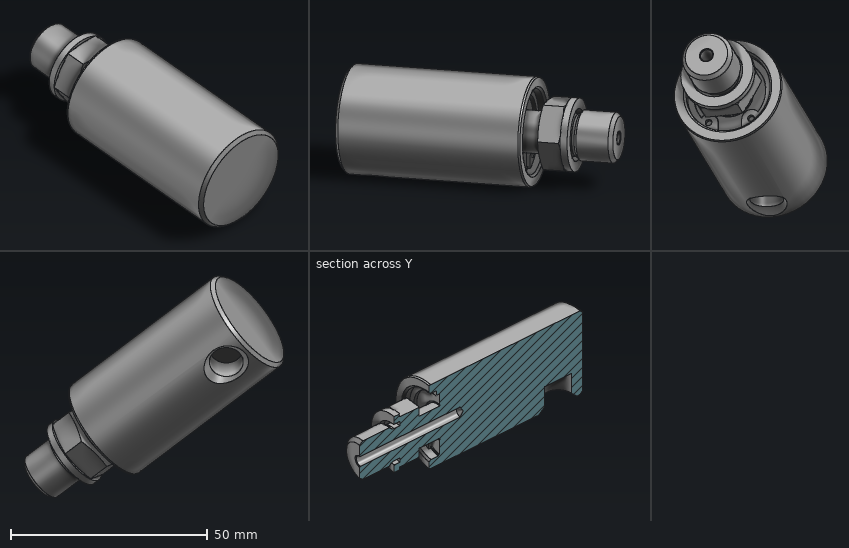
import cadquery as cq
import math


total_length = 71.4

thread_dia = 13.15
thread_end = 9.5
thread_chamfer = 1.0
relief_start = 10.2
relief_dia = 11.7

collar_start = 11.0
collar_end = 12.85
collar_dia = 19.0
collar_bore_dia = 13.5

hex_flats = 17.0
hex_end = 19.05
hex_chamfer = 0.35

shaft_dia = 11.0
bore_dia = 3.2
bore_chamfer = 0.2
bore_depth = 32.1
drill_tip_angle = 118.0

housing_dia = 28.35
housing_start = 22.2
front_edge_width = 0.5
front_edge_height = 0.2
rear_edge_chamfer = 0.9

recess_dia = 22.05
recess_chamfer = 0.6
recess_floor = 25.5
seat_dia = 21.2
seat_depth = 0.35
clearance_dia = 11.85
clearance_depth = 0.15

ring_inner_dia = 18.85
ring_thickness = 1.0
ring_gap = 6.3
lug_radius = 2.4
lug_hole_dia = 1.7
lug_height = -7.4

port_x = 63.5
port_dia = 8.6
port_mouth_dia = 12.15
port_depth = 8.6


def revolve_profile(points):
    """Solid of revolution about X from (x, radius) points; both ends close on the axis."""
    first_x = points[0][0]
    last_x, last_radius = points[-1]
    outline = [(first_x, 0)] + points
    if last_radius > 0:
        outline.append((last_x, 0))
    return cq.Workplane("XY").polyline(outline).close().revolve(360, (0, 0, 0), (1, 0, 0))


def disc(x_start, x_end, diameter):
    """Cylinder on the X axis between two stations."""
    return cq.Workplane("YZ", origin=(x_start, 0, 0)).circle(diameter / 2).extrude(x_end - x_start)


def make_rotor():
    thread_radius = thread_dia / 2
    stub = revolve_profile([
        (0, thread_radius - thread_chamfer),
        (thread_chamfer, thread_radius),
        (thread_end, thread_radius),
        (relief_start, relief_dia / 2),
        (collar_start, shaft_dia / 2),
    ])
    collar = disc(collar_start, collar_end, collar_dia)
    collar = collar.cut(disc(collar_start, collar_end, collar_bore_dia))
    shaft = disc(collar_start, recess_floor + clearance_depth, shaft_dia)
    return stub.union(collar).union(make_hexagon()).union(shaft)


def make_hexagon():
    """Hexagon with its corners turned down at both ends."""
    corner_radius = hex_flats / math.sqrt(3)
    prism = (
        cq.Workplane("YZ", origin=(collar_end, 0, 0))
        .polygon(6, 2 * corner_radius)
        .extrude(hex_end - collar_end)
    )
    turned_corners = revolve_profile([
        (collar_end, hex_flats / 2),
        (collar_end + hex_chamfer, corner_radius),
        (hex_end - hex_chamfer, corner_radius),
        (hex_end, hex_flats / 2),
    ])
    return prism.intersect(turned_corners)


def make_housing():
    outer_radius = housing_dia / 2
    body = revolve_profile([
        (housing_start, outer_radius - front_edge_height),
        (housing_start + front_edge_width, outer_radius),
        (total_length - rear_edge_chamfer, outer_radius),
        (total_length, outer_radius - rear_edge_chamfer),
    ])
    recess_radius = recess_dia / 2
    recess = revolve_profile([
        (housing_start, recess_radius + recess_chamfer),
        (housing_start + recess_chamfer, recess_radius),
        (recess_floor - seat_depth, recess_radius),
        (recess_floor - seat_depth, seat_dia / 2),
        (recess_floor, seat_dia / 2),
        (recess_floor, clearance_dia / 2),
        (recess_floor + clearance_depth, clearance_dia / 2),
    ])
    return body.cut(recess).cut(make_port())


def make_port():
    """Radial hole with a 45 degree countersink, pointing up from the bottom of the housing."""
    bottom = -housing_dia / 2
    mouth_radius = port_mouth_dia / 2
    hole_radius = port_dia / 2
    return (
        cq.Workplane("XZ", origin=(port_x, 0, bottom))
        .polyline([
            (0, 0),
            (mouth_radius, 0),
            (hole_radius, mouth_radius - hole_radius),
            (hole_radius, port_depth),
            (0, port_depth),
        ])
        .close()
        .revolve(360, (0, 0, 0), (0, 1, 0))
    )


def make_retaining_ring():
    ring_front = recess_floor - ring_thickness
    lug_y = ring_gap / 2 + lug_radius
    plane = cq.Workplane("YZ", origin=(ring_front, 0, 0))
    envelope = disc(ring_front, recess_floor, recess_dia)
    ring = envelope.cut(disc(ring_front, recess_floor, ring_inner_dia))
    lug_centers = [(-lug_y, lug_height), (lug_y, lug_height)]

    lug_tips = plane.pushPoints(lug_centers).circle(lug_radius).extrude(ring_thickness)
    leg_length = recess_dia / 2 + lug_height
    leg_centers = [(y, z - leg_length / 2) for y, z in lug_centers]
    lug_legs = plane.pushPoints(leg_centers).rect(2 * lug_radius, leg_length).extrude(ring_thickness)
    lugs = lug_tips.union(lug_legs).intersect(envelope)

    gap = plane.center(0, -recess_dia / 2).rect(ring_gap, recess_dia).extrude(ring_thickness)
    holes = plane.pushPoints(lug_centers).circle(lug_hole_dia / 2).extrude(ring_thickness)
    return ring.cut(gap).union(lugs).cut(holes)


def make_bore():
    """Axial hole with a chamfered mouth and a drill-point bottom."""
    radius = bore_dia / 2
    tip_length = radius / math.tan(math.radians(drill_tip_angle / 2))
    return revolve_profile([
        (0, radius + bore_chamfer),
        (bore_chamfer, radius),
        (bore_depth, radius),
        (bore_depth + tip_length, 0),
    ])


result = make_housing().union(make_rotor()).union(make_retaining_ring()).cut(make_bore())